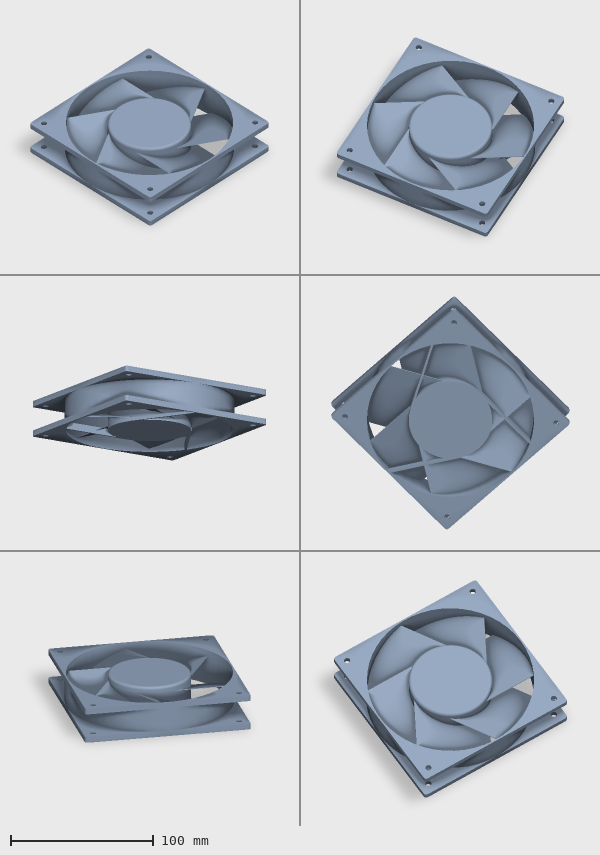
import cadquery as cq
import math

side = 119.0
height = 25.3
flange_thickness = 4.0
corner_radius = 2.0
tube_outer_radius = side / 2
tube_inner_radius = 58.5
hole_diameter = 4.3
hole_pitch = 104.7

wall_overlap = 0.5

hub_radius = 29.3
hub_fillet = 2.0

blade_count = 6
blade_pitch = 19.0
blade_span_width = 52.6
blade_thickness = 0.5
blade_center_z = 11.5
blade_root_radius = 11.9

strut_count = 3
strut_width = 1.5
strut_offset = 28.8
strut_height = 5.0
strut_direction = 30.0


def make_flange(base_z):
    """Square end plate with rounded corners and four mounting holes."""
    return (
        cq.Workplane("XY", origin=(0, 0, base_z))
        .rect(side, side)
        .extrude(flange_thickness)
        .edges("|Z")
        .fillet(corner_radius)
        .faces(">Z")
        .workplane(origin=(0, 0, base_z))
        .rect(hole_pitch, hole_pitch, forConstruction=True)
        .vertices()
        .hole(hole_diameter)
    )


def make_frame():
    """Round duct joining the two flanges, open along its axis."""
    tube = cq.Workplane("XY").circle(tube_outer_radius).extrude(height)
    bore = cq.Workplane("XY").circle(tube_inner_radius).extrude(height)
    flanges = make_flange(0).union(make_flange(height - flange_thickness))
    return flanges.union(tube).cut(bore)


def make_hub():
    """Solid cylinder with a rounded top rim."""
    hub = cq.Workplane("XY").circle(hub_radius).extrude(height)
    return hub.faces(">Z").edges().fillet(hub_fillet)


def trim_to_duct(body):
    """Keep the part of a body inside the duct, slightly embedded in its wall."""
    limit = cq.Workplane("XY").circle(tube_inner_radius + wall_overlap).extrude(height)
    return body.intersect(limit)


def make_blade(angle):
    """Pitched plate from inside the hub to the duct wall, turned about Z."""
    chord = blade_span_width / math.cos(math.radians(blade_pitch))
    plate = (
        cq.Workplane("XY")
        .box(side, chord, blade_thickness, centered=(False, True, True))
        .rotate((0, 0, 0), (1, 0, 0), -blade_pitch)
        .translate((blade_root_radius, 0, blade_center_z))
    )
    return trim_to_duct(plate).rotate((0, 0, 0), (0, 0, 1), angle)


def make_strut(direction):
    """Bar from the side of the hub out to the duct wall."""
    bar = (
        cq.Workplane("XY")
        .box(side, strut_width, strut_height, centered=(False, True, False))
        .translate((0, -strut_offset, 0))
    )
    return trim_to_duct(bar).rotate((0, 0, 0), (0, 0, 1), direction)


result = make_frame().union(make_hub())
for index in range(blade_count):
    result = result.union(make_blade(index * 360 / blade_count))
for index in range(strut_count):
    result = result.union(make_strut(strut_direction + index * 360 / strut_count))